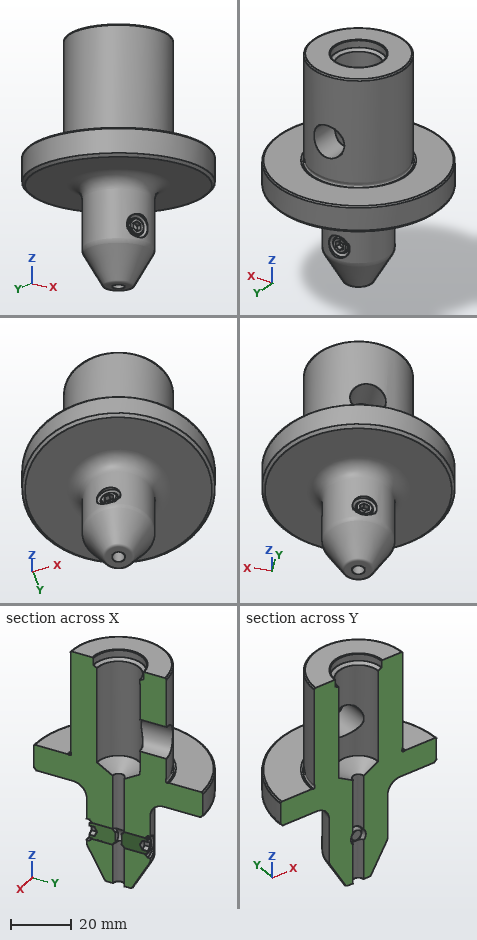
import cadquery as cq
import math

total_height = 85.0
nose_shoulder_z = 12.15
screw_z = 17.9
flange_bottom_z = 35.0
flange_top_z = 45.0
side_hole_z = 60.0

shank_radius = 18.0
flange_diameter = 63.5
flange_radius = flange_diameter / 2
nose_radius = 12.0
cone_angle = 30.0

nose_tip_fillet = 1.0
nose_shoulder_fillet = 3.0
flange_fillet = 5.0
flange_bottom_chamfer = 1.0
small_chamfer = 0.5

relief_height = 1.45
relief_depth = 0.25
relief_taper_length = 0.9
relief_corner_radius = 0.5
relief_outer_radius = 18.95

counterbore_radius = 9.35
counterbore_depth = 2.9
counterbore_chamfer = 0.25
bore_radius = 8.0
bore_bottom_z = flange_top_z
passage_radius = 2.1
bore_cone_slope = math.tan(math.radians(30.0))

side_hole_radius = 6.0

screw_radius = 3.0
screw_head_chamfer = 0.4
screw_outer_y = 11.0
screw_tip_y = 1.1
screw_tip_radius = 1.95
countersink_radius = 4.1
countersink_rim_y = 11.0
hex_across_flats = 3.0
hex_depth = 2.0
hex_bottom_slope = math.tan(math.radians(30.0))
screw_turns = (0, 180)


def revolve_about_z(outline):
    return outline.close().revolve(360, (0, 0, 0), (0, 1, 0))


def circular_edge(radius, z):
    margin = 0.01
    reach = radius + margin
    return cq.selectors.BoxSelector(
        (-reach, -reach, z - margin), (reach, reach, z + margin), boundingbox=True
    )


def make_holder_blank():
    nose_tip_radius = nose_radius - nose_shoulder_z * math.tan(math.radians(cone_angle))
    relief_wall_radius = shank_radius - relief_depth
    relief_floor_z = flange_top_z - relief_depth
    relief_arc_center = (relief_wall_radius + relief_corner_radius, relief_floor_z + relief_corner_radius)
    arc_middle_offset = relief_corner_radius * math.sqrt(0.5)
    blank = revolve_about_z(
        cq.Workplane("XZ")
        .lineTo(nose_tip_radius, 0)
        .lineTo(nose_radius, nose_shoulder_z)
        .lineTo(nose_radius, flange_bottom_z)
        .lineTo(flange_radius - flange_bottom_chamfer, flange_bottom_z)
        .lineTo(flange_radius, flange_bottom_z + flange_bottom_chamfer)
        .lineTo(flange_radius, flange_top_z - small_chamfer)
        .lineTo(flange_radius - small_chamfer, flange_top_z)
        .lineTo(relief_outer_radius, flange_top_z)
        .lineTo(relief_arc_center[0], relief_floor_z)
        .threePointArc(
            (relief_arc_center[0] - arc_middle_offset, relief_arc_center[1] - arc_middle_offset),
            (relief_wall_radius, relief_arc_center[1]),
        )
        .lineTo(relief_wall_radius, flange_top_z + relief_height - relief_taper_length)
        .lineTo(shank_radius, flange_top_z + relief_height)
        .lineTo(shank_radius, total_height - small_chamfer)
        .lineTo(shank_radius - small_chamfer, total_height)
        .lineTo(0, total_height)
    )
    blank = blank.edges(circular_edge(nose_tip_radius, 0)).fillet(nose_tip_fillet)
    blank = blank.edges(circular_edge(nose_radius, nose_shoulder_z)).fillet(nose_shoulder_fillet)
    return blank.edges(circular_edge(nose_radius, flange_bottom_z)).fillet(flange_fillet)


def make_bore():
    counterbore_z = total_height - counterbore_depth
    seat_z = counterbore_z - (counterbore_radius - bore_radius) * bore_cone_slope
    passage_z = bore_bottom_z - (bore_radius - passage_radius) * bore_cone_slope
    return revolve_about_z(
        cq.Workplane("XZ")
        .lineTo(passage_radius, 0)
        .lineTo(passage_radius, passage_z)
        .lineTo(bore_radius, bore_bottom_z)
        .lineTo(bore_radius, seat_z)
        .lineTo(counterbore_radius, counterbore_z)
        .lineTo(counterbore_radius, total_height - counterbore_chamfer)
        .lineTo(counterbore_radius + counterbore_chamfer, total_height)
        .lineTo(0, total_height)
    )


def make_side_hole():
    return cq.Workplane("XZ", origin=(0, 0, side_hole_z)).circle(side_hole_radius).extrude(-shank_radius)


def make_screw_hole():
    countersink_start_y = countersink_rim_y - (countersink_radius - screw_radius)
    return (
        cq.Workplane("XY")
        .lineTo(screw_radius, 0)
        .lineTo(screw_radius, -countersink_start_y)
        .lineTo(countersink_radius, -countersink_rim_y)
        .lineTo(countersink_radius, -nose_radius)
        .lineTo(0, -nose_radius)
        .close()
        .revolve(360, (0, 0, 0), (0, 1, 0))
        .translate((0, 0, screw_z))
    )


def make_set_screw():
    tip_chamfer = screw_radius - screw_tip_radius
    body = (
        cq.Workplane("XY")
        .moveTo(0, -screw_tip_y)
        .lineTo(screw_tip_radius, -screw_tip_y)
        .lineTo(screw_radius, -screw_tip_y - tip_chamfer)
        .lineTo(screw_radius, -screw_outer_y + screw_head_chamfer)
        .lineTo(screw_radius - screw_head_chamfer, -screw_outer_y)
        .lineTo(0, -screw_outer_y)
        .close()
        .revolve(360, (0, 0, 0), (0, 1, 0))
    )
    hex_across_corners = hex_across_flats / math.cos(math.radians(180 / 6))
    socket = (
        cq.Workplane("XZ", origin=(0, -screw_outer_y, 0))
        .transformed(rotate=(0, 0, 30))
        .polygon(6, hex_across_corners)
        .extrude(-hex_depth)
    )
    socket_floor_y = hex_depth - screw_outer_y
    socket_bottom = (
        cq.Workplane("XY")
        .moveTo(0, socket_floor_y)
        .lineTo(hex_across_flats / 2, socket_floor_y)
        .lineTo(0, socket_floor_y + hex_across_flats / 2 * hex_bottom_slope)
        .close()
        .revolve(360, (0, 0, 0), (0, 1, 0))
    )
    return body.cut(socket).cut(socket_bottom).translate((0, 0, screw_z))


holder = make_holder_blank().cut(make_bore()).cut(make_side_hole())
set_screws = []
for turn in screw_turns:
    holder = holder.cut(make_screw_hole().rotate((0, 0, 0), (0, 0, 1), turn))
    set_screws.append(make_set_screw().rotate((0, 0, 0), (0, 0, 1), turn).val())

result = cq.Compound.makeCompound([holder.val(), *set_screws])